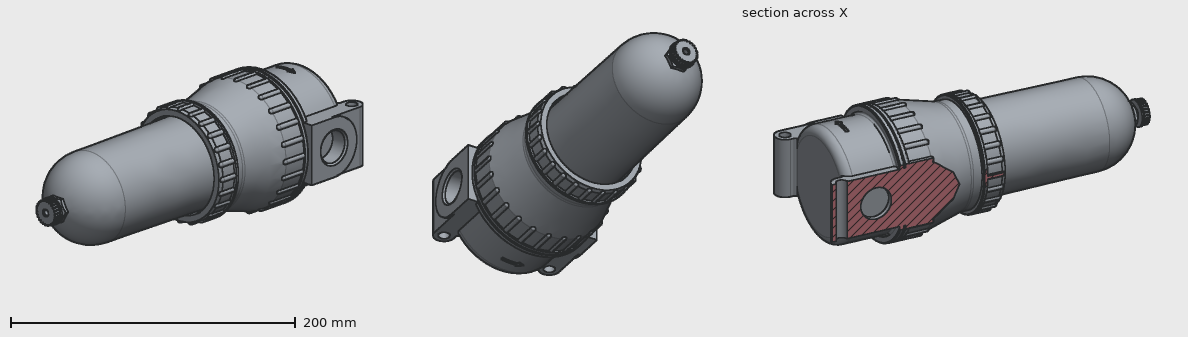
import cadquery as cq
import math


HEAD_RADIUS = 43.5
HEAD_TOP_Y = 22.7
HEAD_EDGE_FILLET = 6.8
HEAD_BASE_FILLET = 1.5

BLOCK_HEIGHT = 45.0
BLOCK_HALF_HEIGHT = BLOCK_HEIGHT / 2
BLOCK_BOTTOM_Y = -22.5
EAR_X = 43.0
EAR_RADIUS = 7.8
EAR_TIP_Y = 35.0
EAR_HOLE_DIAMETER = 8.5
EAR_ROOT_FILLET = 1.5
PAD_SPAN = 105.0
PAD_FACE_X = PAD_SPAN / 2
PORT_DIAMETER = 24.0
PORT_MOUTH_DIAMETER = 27.0
PORT_DEPTH = 13.5

RING_RADIUS = 50.0
RING_EDGE_CHAMFER = 0.8
FLANGE_TOP_Y = -18.4
GROOVE_TOP_Y = -22.1
GROOVE_WIDTH = 1.0
GROOVE_DEPTH = 1.4
RING_RIBS_TOP_Y = -26.2
RING_BOTTOM_Y = -44.3

NECK_RADIUS = 40.0
CONE_BOTTOM_Y = -77.8
CONE_FILLET = 8.0

COLLAR_RADIUS = 43.5
COLLAR_TOP_Y = -85.5
COLLAR_RIBS_TOP_Y = -88.3
COLLAR_RIM_CHAMFER = 0.8
COLLAR_BOTTOM_Y = -103.5
COLLAR_BEVEL_WIDTH = 1.0
COLLAR_BEVEL_HEIGHT = 3.0
COLLAR_BORE_DIAMETER = 72.5

RIB_COUNT = 24
RIB_RADIUS = 2.02
RIB_PROJECTION = 1.4

ARROW_HALF_LENGTH = 9.0
ARROW_BARB_X = 3.8
ARROW_HALF_SHAFT = 1.0
ARROW_HALF_BARB = 2.7
ARROW_Y = 5.0
ARROW_HEIGHT = 0.5

BOWL_TOP_RADIUS = 35.0
DOME_RADIUS = 34.0
DOME_Y = -189.8

NUT_CORNER_DIAMETER = 20.0
NUT_BEVEL_Y = -224.6
NUT_TIP_RADIUS = 6.2
NUT_TIP_Y = -227.0
STEM_RADIUS = 4.0
KNOB_TOP_Y = -228.5
KNOB_BOTTOM_Y = -235.0
KNOB_RIM_RADIUS = 10.0
KNOB_RIM_HEIGHT = 1.5
KNOB_CORE_RADIUS = 8.6
KNURL_COUNT = 24
KNURL_RADIUS = 0.8
DRAIN_HOLE_DIAMETER = 4.0
DRAIN_HOLE_CHAMFER = 0.8
DRAIN_HOLE_DEPTH = 5.5


def cylinder_y(radius, start_y, end_y):
    """Cylinder on the filter axis between two Y positions."""
    return cq.Workplane("XZ", origin=(0, start_y, 0)).circle(radius).extrude(start_y - end_y)


def revolve_y(profile):
    """Revolve an outline drawn as (radius, y) about the filter axis."""
    return profile.close().revolve(360, (0, 0, 0), (0, 1, 0))


def around_axis(solid, count):
    """Equally spaced copies of a solid about the filter axis."""
    return [solid.rotate((0, 0, 0), (0, 1, 0), i * 360 / count) for i in range(count)]


def add_all(base, pieces):
    """Union a list of pieces onto a base."""
    for piece in pieces:
        base = base.union(piece)
    return base


def head():
    """Plain cylinder with a rounded closed end."""
    blank = cylinder_y(HEAD_RADIUS, HEAD_TOP_Y, FLANGE_TOP_Y)
    return blank.faces(">Y").edges().fillet(HEAD_EDGE_FILLET)


def ring_and_neck():
    """Flange, large ring, cone, neck and small ring as one turned shape, without ribs."""
    ring_root = RING_RADIUS - RIB_PROJECTION
    collar_root = COLLAR_RADIUS - RIB_PROJECTION
    groove_bottom = GROOVE_TOP_Y - GROOVE_WIDTH
    fillet_start = HEAD_RADIUS + HEAD_BASE_FILLET
    fillet_sag = HEAD_BASE_FILLET * (1 - math.sqrt(0.5))
    profile = (
        cq.Workplane("XY")
        .moveTo(0, FLANGE_TOP_Y + HEAD_BASE_FILLET)
        .lineTo(HEAD_RADIUS, FLANGE_TOP_Y + HEAD_BASE_FILLET)
        .threePointArc((HEAD_RADIUS + fillet_sag, FLANGE_TOP_Y + fillet_sag), (fillet_start, FLANGE_TOP_Y))
        .lineTo(RING_RADIUS - RING_EDGE_CHAMFER, FLANGE_TOP_Y)
        .lineTo(RING_RADIUS, FLANGE_TOP_Y - RING_EDGE_CHAMFER)
        .lineTo(RING_RADIUS, GROOVE_TOP_Y)
        .lineTo(RING_RADIUS - GROOVE_DEPTH, GROOVE_TOP_Y)
        .lineTo(RING_RADIUS - GROOVE_DEPTH, groove_bottom)
        .lineTo(RING_RADIUS, groove_bottom)
        .lineTo(RING_RADIUS, RING_RIBS_TOP_Y)
        .lineTo(ring_root, RING_RIBS_TOP_Y)
        .lineTo(ring_root, RING_BOTTOM_Y)
        .lineTo(NECK_RADIUS, CONE_BOTTOM_Y)
        .lineTo(NECK_RADIUS, COLLAR_TOP_Y)
        .lineTo(COLLAR_RADIUS - COLLAR_RIM_CHAMFER, COLLAR_TOP_Y)
        .lineTo(COLLAR_RADIUS, COLLAR_TOP_Y - COLLAR_RIM_CHAMFER)
        .lineTo(COLLAR_RADIUS, COLLAR_RIBS_TOP_Y)
        .lineTo(collar_root, COLLAR_RIBS_TOP_Y - COLLAR_RIM_CHAMFER)
        .lineTo(collar_root, COLLAR_BOTTOM_Y + COLLAR_BEVEL_HEIGHT)
        .lineTo(collar_root - COLLAR_BEVEL_WIDTH, COLLAR_BOTTOM_Y)
        .lineTo(0, COLLAR_BOTTOM_Y)
    )
    turned = revolve_y(profile)
    cone_foot = cq.selectors.NearestToPointSelector((0, CONE_BOTTOM_Y, 0))
    return turned.edges(cone_foot).fillet(CONE_FILLET)


def rib(ring_radius, top_y, bottom_y):
    """Round bar along Y with a ball end, reaching out to the ring radius at +Z."""
    centre_z = ring_radius - RIB_RADIUS
    bar = cylinder_y(RIB_RADIUS, top_y, bottom_y)
    ball = cq.Workplane("XY").sphere(RIB_RADIUS).translate((0, bottom_y, 0))
    return bar.union(ball).translate((0, 0, centre_z))


def port_block(side):
    """Block with a mounting ear, a raised port pad and the ear hole; side is +1 or -1 along X."""
    ear_y = EAR_TIP_Y - EAR_RADIUS
    outer_x = EAR_X + EAR_RADIUS
    inner_x = EAR_X - EAR_RADIUS
    root_sag = EAR_ROOT_FILLET * (1 - math.sqrt(0.5))
    plate = (
        cq.Workplane("XY", origin=(0, 0, -BLOCK_HALF_HEIGHT))
        .moveTo(outer_x, BLOCK_BOTTOM_Y)
        .lineTo(outer_x, ear_y)
        .threePointArc((EAR_X, EAR_TIP_Y), (inner_x, ear_y))
        .lineTo(inner_x, HEAD_TOP_Y + EAR_ROOT_FILLET)
        .threePointArc(
            (inner_x - root_sag, HEAD_TOP_Y + root_sag),
            (inner_x - EAR_ROOT_FILLET, HEAD_TOP_Y),
        )
        .lineTo(inner_x, HEAD_TOP_Y - HEAD_EDGE_FILLET)
        .lineTo(inner_x, BLOCK_BOTTOM_Y)
        .close()
        .extrude(BLOCK_HEIGHT)
    )
    pad = (
        cq.Workplane("YZ", origin=(EAR_X, 0, 0))
        .moveTo(BLOCK_BOTTOM_Y, -BLOCK_HALF_HEIGHT)
        .lineTo(0, -BLOCK_HALF_HEIGHT)
        .threePointArc((BLOCK_HALF_HEIGHT, 0), (0, BLOCK_HALF_HEIGHT))
        .lineTo(BLOCK_BOTTOM_Y, BLOCK_HALF_HEIGHT)
        .close()
        .extrude(PAD_FACE_X - EAR_X)
    )
    ear_hole = (
        cq.Workplane("XY", origin=(EAR_X, ear_y, -BLOCK_HALF_HEIGHT))
        .circle(EAR_HOLE_DIAMETER / 2)
        .extrude(BLOCK_HEIGHT)
    )
    block = plate.union(pad).cut(ear_hole)
    return block if side > 0 else block.mirror("YZ")


def port_hole(side):
    """Blind port bore with a chamfered mouth; side is +1 or -1 along X."""
    mouth = (PORT_MOUTH_DIAMETER - PORT_DIAMETER) / 2
    bore = (
        cq.Workplane("YZ", origin=(PAD_FACE_X - PORT_DEPTH, 0, 0))
        .circle(PORT_DIAMETER / 2)
        .extrude(PORT_DEPTH)
    )
    countersink = (
        cq.Workplane("YZ", origin=(PAD_FACE_X, 0, 0))
        .circle(PORT_MOUTH_DIAMETER / 2)
        .extrude(-mouth, taper=45)
    )
    hole = bore.union(countersink)
    return hole if side > 0 else hole.mirror("YZ")


def flow_arrows():
    """Arrows pointing to +X on the top and underside, following the curve of the head."""
    outline = [
        (-ARROW_HALF_LENGTH, ARROW_HALF_SHAFT),
        (ARROW_BARB_X, ARROW_HALF_SHAFT),
        (ARROW_BARB_X, ARROW_HALF_BARB),
        (ARROW_HALF_LENGTH, 0),
        (ARROW_BARB_X, -ARROW_HALF_BARB),
        (ARROW_BARB_X, -ARROW_HALF_SHAFT),
        (-ARROW_HALF_LENGTH, -ARROW_HALF_SHAFT),
    ]
    prism = (
        cq.Workplane("XY", origin=(0, ARROW_Y, 0))
        .polyline(outline)
        .close()
        .extrude(HEAD_RADIUS + 2 * ARROW_HEIGHT, both=True)
    )
    return prism.intersect(cylinder_y(HEAD_RADIUS + ARROW_HEIGHT, HEAD_TOP_Y, FLANGE_TOP_Y))


def make_housing():
    """Head, port blocks, flow arrows and ribbed rings, bored for the bowl."""
    body = head().union(ring_and_neck())
    for side in (1, -1):
        body = body.union(port_block(side))
    for side in (1, -1):
        body = body.cut(port_hole(side))
    body = body.union(flow_arrows())
    ring_rib = rib(RING_RADIUS, RING_RIBS_TOP_Y, RING_BOTTOM_Y)
    collar_rib = rib(COLLAR_RADIUS, COLLAR_RIBS_TOP_Y, COLLAR_BOTTOM_Y + COLLAR_BEVEL_HEIGHT)
    body = add_all(body, around_axis(ring_rib, RIB_COUNT))
    body = add_all(body, around_axis(collar_rib, RIB_COUNT))
    return body.cut(cylinder_y(COLLAR_BORE_DIAMETER / 2, COLLAR_TOP_Y, COLLAR_BOTTOM_Y))


def bowl_shell():
    """Slightly tapered bowl with a domed end; its flat top seats on the floor of the collar bore."""
    diagonal = DOME_RADIUS * math.sqrt(0.5)
    profile = (
        cq.Workplane("XY")
        .moveTo(0, COLLAR_TOP_Y)
        .lineTo(BOWL_TOP_RADIUS, COLLAR_TOP_Y)
        .lineTo(DOME_RADIUS, DOME_Y)
        .threePointArc((diagonal, DOME_Y - diagonal), (0, DOME_Y - DOME_RADIUS))
    )
    return revolve_y(profile)


def drain_nut():
    """Hexagon with corners at +X and -X and a conical bevel, then the stem that carries the knob."""
    corner_radius = NUT_CORNER_DIAMETER / 2
    hexagon = (
        cq.Workplane("XZ", origin=(0, DOME_Y, 0))
        .polygon(6, NUT_CORNER_DIAMETER)
        .extrude(DOME_Y - NUT_TIP_Y)
    )
    envelope = revolve_y(
        cq.Workplane("XY")
        .moveTo(0, DOME_Y)
        .lineTo(corner_radius, DOME_Y)
        .lineTo(corner_radius, NUT_BEVEL_Y)
        .lineTo(NUT_TIP_RADIUS, NUT_TIP_Y)
        .lineTo(0, NUT_TIP_Y)
    )
    nut = hexagon.intersect(envelope)
    return nut.union(cylinder_y(STEM_RADIUS, NUT_TIP_Y, KNOB_TOP_Y))


def drain_knob():
    """Knurled knob with a rim at its top and a chamfered blind hole in its end face."""
    core = cylinder_y(KNOB_CORE_RADIUS, KNOB_TOP_Y, KNOB_BOTTOM_Y)
    rim = cylinder_y(KNOB_RIM_RADIUS, KNOB_TOP_Y, KNOB_TOP_Y - KNOB_RIM_HEIGHT)
    knurl = cylinder_y(KNURL_RADIUS, KNOB_TOP_Y, KNOB_BOTTOM_Y).translate((0, 0, KNOB_CORE_RADIUS))
    knob = add_all(core.union(rim), around_axis(knurl, KNURL_COUNT))
    hole_radius = DRAIN_HOLE_DIAMETER / 2
    hole = revolve_y(
        cq.Workplane("XY")
        .moveTo(0, KNOB_BOTTOM_Y)
        .lineTo(hole_radius + DRAIN_HOLE_CHAMFER, KNOB_BOTTOM_Y)
        .lineTo(hole_radius, KNOB_BOTTOM_Y + DRAIN_HOLE_CHAMFER)
        .lineTo(hole_radius, KNOB_BOTTOM_Y + DRAIN_HOLE_DEPTH)
        .lineTo(0, KNOB_BOTTOM_Y + DRAIN_HOLE_DEPTH)
    )
    return knob.cut(hole)


def make_bowl():
    """Bowl with its drain nut and knob."""
    return bowl_shell().union(drain_nut()).union(drain_knob())


housing = make_housing()
bowl = make_bowl()
result = cq.Compound.makeCompound([housing.val(), bowl.val()])